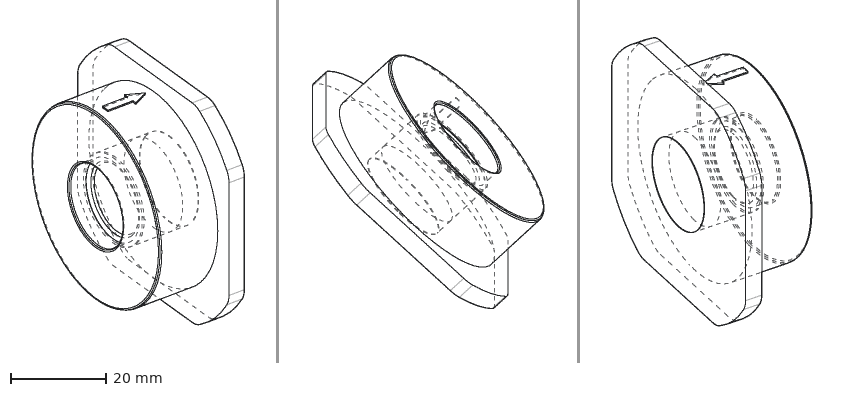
import cadquery as cq
import math

flange_size = 54.0
flange_corner_radius = 31.0
flange_blend_radius = 5.0
flange_thickness = 4.0

boss_radius = 23.0
boss_length = 15.0
edge_break = 0.5

window_radius = 9.5
front_wall_thickness = 4.5
cavity_radius = 10.5

insert_gap = 0.5
dish_radius = 8.5
dish_depth = 0.5

plug_protrusion = 0.15

arrow_height = 0.3
arrow_tip_gap = 2.0
arrow_head_length = 4.0
arrow_head_width = 4.0
arrow_shaft_length = 6.5
arrow_shaft_width = 2.0

flange_front_y = -flange_thickness
boss_front_y = flange_front_y - boss_length
cavity_front_y = boss_front_y + front_wall_thickness
insert_front_y = cavity_front_y + insert_gap


def cylinder_along_y(radius, start_y, end_y):
    """Cylinder on the Y axis between two Y positions, start_y being the lower one."""
    return cq.Workplane("XZ", origin=(0, end_y, 0)).circle(radius).extrude(end_y - start_y)


def make_flange():
    square = cq.Workplane("XZ").rect(flange_size, flange_size).extrude(flange_thickness)
    corner_round = cylinder_along_y(flange_corner_radius, flange_front_y, 0)
    return square.intersect(corner_round).edges("|Y").fillet(flange_blend_radius)


def make_boss():
    """Ring-shaped boss whose two front edges are each broken by a pair of equal bevels."""
    bevel_inset = edge_break * (1 - math.sqrt(0.5))
    profile = [
        (window_radius, flange_front_y),
        (boss_radius, flange_front_y),
        (boss_radius, boss_front_y + edge_break),
        (boss_radius - bevel_inset, boss_front_y + bevel_inset),
        (boss_radius - edge_break, boss_front_y),
        (window_radius + edge_break, boss_front_y),
        (window_radius + bevel_inset, boss_front_y + bevel_inset),
        (window_radius, boss_front_y + edge_break),
    ]
    return cq.Workplane("XY").polyline(profile).close().revolve(360, (0, 0, 0), (0, 1, 0))


def make_arrow():
    """Flat-topped arrow that starts inside the boss wall and stands proud of it."""
    tip_y = flange_front_y - arrow_tip_gap
    shoulder_y = tip_y - arrow_head_length
    tail_y = shoulder_y - arrow_shaft_length
    half_head = arrow_head_width / 2
    half_shaft = arrow_shaft_width / 2
    outline = [
        (0, tip_y),
        (half_head, shoulder_y),
        (half_shaft, shoulder_y),
        (half_shaft, tail_y),
        (-half_shaft, tail_y),
        (-half_shaft, shoulder_y),
        (-half_head, shoulder_y),
    ]
    arrow_top_z = boss_radius + arrow_height
    arrow_root_z = (boss_radius + cavity_radius) / 2
    arrow_base = cq.Workplane("XY", origin=(0, 0, arrow_root_z)).polyline(outline).close()
    return arrow_base.extrude(arrow_top_z - arrow_root_z)


def make_housing():
    cavity = cylinder_along_y(cavity_radius, cavity_front_y, 0)
    return make_flange().union(make_boss()).union(make_arrow()).cut(cavity)


def make_insert():
    """Plain cylinder, ending level with the flange front, with a shallow 45 degree dish."""
    body = cylinder_along_y(cavity_radius, insert_front_y, flange_front_y)
    dish = (
        cq.Workplane("XZ", origin=(0, insert_front_y, 0))
        .circle(dish_radius)
        .workplane(offset=-dish_depth)
        .circle(dish_radius - dish_depth)
        .loft(ruled=True)
    )
    return body.cut(dish)


def make_plug():
    return cylinder_along_y(cavity_radius, flange_front_y, plug_protrusion)


housing = make_housing()
insert = make_insert()
plug = make_plug()

result = cq.Compound.makeCompound([housing.val(), insert.val(), plug.val()])